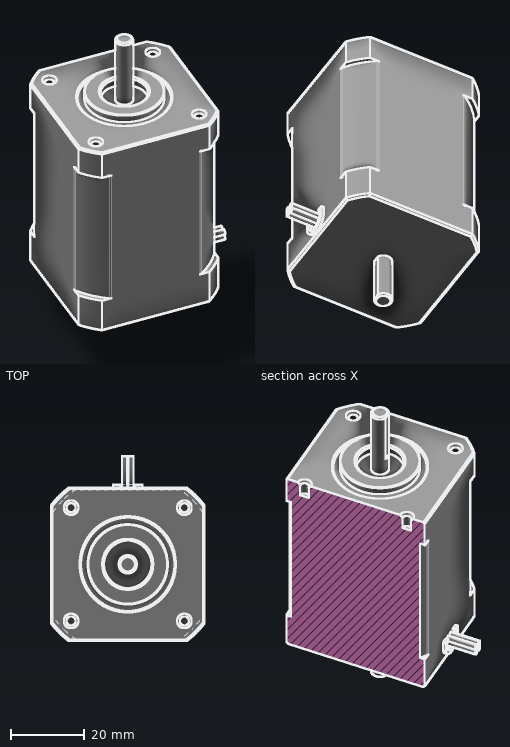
import cadquery as cq

frame_width = 42.0
motor_length = 61.0

front_cap_height = 8.4
rear_cap_height = 10.6
cap_corner_radius = 26.5
front_cap_chamfer = 0.4
rear_cap_chamfer = 0.6

stack_corner_radius = 25.0
stack_edge_fillet = 1.0

pilot_diameter = 22.0
pilot_height = 2.0
pilot_chamfer = 0.2
bearing_bore_diameter = 13.0
bearing_bore_depth = 2.8
bearing_bore_chamfer = 0.5
ring_recess_diameter = 26.4
ring_recess_depth = 0.4

mount_hole_pitch = 31.0
mount_hole_diameter = 2.5
mount_hole_depth = 4.5
mount_hole_chamfer = 0.75

shaft_diameter = 5.0
front_shaft_length = 20.0
rear_shaft_length = 15.0
shaft_chamfer = 0.5
shaft_flat_offset = 2.25
front_shaft_round_length = 4.5

outlet_radius = 4.0
outlet_top_height = 2.1
outlet_bore_radius = 3.0
outlet_thickness = 0.8
outlet_center_height = 5.25
wire_diameter = 1.5
wire_pitch = 1.75
wire_length = 8.6
wire_center_height = 5.55

half_width = frame_width / 2
rear_face_z = -motor_length
stack_bottom_z = rear_face_z + rear_cap_height
bore_floor_z = pilot_height - bearing_bore_depth
outlet_z = rear_face_z + outlet_center_height
wire_center_z = rear_face_z + wire_center_height


def cylinder(diameter, bottom_z, height):
    """Cylinder on the motor axis."""
    return cq.Workplane("XY", origin=(0, 0, bottom_z)).circle(diameter / 2).extrude(height)


def countersink(hole_diameter, chamfer, top_z):
    """45 degree cone that opens upward from a hole on the motor axis."""
    radius = hole_diameter / 2
    cone = cq.Solid.makeCone(radius, radius + chamfer, chamfer, pnt=cq.Vector(0, 0, top_z - chamfer))
    return cq.Workplane(cone)


def rounded_square(corner_radius, bottom_z, height):
    """Square prism whose corners are trimmed by a cylinder on the motor axis."""
    prism = cq.Workplane("XY", origin=(0, 0, bottom_z)).rect(frame_width, frame_width).extrude(height)
    return prism.intersect(cylinder(2 * corner_radius, bottom_z, height))


def front_cap():
    cap = rounded_square(cap_corner_radius, -front_cap_height, front_cap_height)
    return cap.faces(">Z").chamfer(front_cap_chamfer)


def rear_cap():
    cap = rounded_square(cap_corner_radius, rear_face_z, rear_cap_height)
    return cap.faces("<Z").chamfer(rear_cap_chamfer)


def stack():
    """Laminated middle section, set back from the caps at its corners."""
    height = motor_length - front_cap_height - rear_cap_height
    return rounded_square(stack_corner_radius, stack_bottom_z, height).edges("|Z").fillet(stack_edge_fillet)


def ring_recess():
    """Shallow recess around the pilot, its wall sloped at 45 degrees."""
    floor_diameter = ring_recess_diameter - 2 * ring_recess_depth
    return countersink(floor_diameter, ring_recess_depth, 0)


def pilot():
    boss = cylinder(pilot_diameter, -ring_recess_depth, pilot_height + ring_recess_depth)
    return boss.faces(">Z").chamfer(pilot_chamfer)


def countersunk_hole(diameter, depth, chamfer, top_z):
    hole = cylinder(diameter, top_z - depth, depth)
    return hole.union(countersink(diameter, chamfer, top_z))


def bearing_bore():
    return countersunk_hole(bearing_bore_diameter, bearing_bore_depth, bearing_bore_chamfer, pilot_height)


def mount_holes():
    hole = countersunk_hole(mount_hole_diameter, mount_hole_depth, mount_hole_chamfer, 0)
    centers = cq.Workplane("XY").rect(mount_hole_pitch, mount_hole_pitch, forConstruction=True).vertices()
    return centers.eachpoint(lambda place: hole.val().moved(place))


def shaft_end(length, flat_start):
    """Upright shaft end from z = 0 to its chamfered tip, with a flat on its +Y side."""
    rod = cylinder(shaft_diameter, 0, length).faces(">Z").chamfer(shaft_chamfer)
    relief = cq.Workplane("XY").box(
        shaft_diameter, shaft_diameter, length - flat_start, centered=(True, False, False)
    )
    return rod.cut(relief.translate((0, shaft_flat_offset, flat_start)))


def front_shaft():
    """Front shaft, standing on the floor of the bearing bore and fully round near the pilot."""
    round_length = front_shaft_round_length - bore_floor_z
    return shaft_end(front_shaft_length - bore_floor_z, round_length).translate((0, 0, bore_floor_z))


def rear_shaft():
    return shaft_end(rear_shaft_length, 0).mirror("XY").translate((0, 0, rear_face_z))


def cable_outlet():
    """Thin U-shaped rim around the wires, open at the top."""
    plane = cq.Workplane("XZ", origin=(0, half_width, outlet_z))
    rim = (
        plane.moveTo(-outlet_radius, 0)
        .threePointArc((0, -outlet_radius), (outlet_radius, 0))
        .lineTo(outlet_radius, outlet_top_height)
        .lineTo(-outlet_radius, outlet_top_height)
        .close()
        .extrude(-outlet_thickness)
    )
    return rim.cut(plane.circle(outlet_bore_radius).extrude(-outlet_thickness))


def wires():
    return (
        cq.Workplane("XZ", origin=(0, half_width, wire_center_z))
        .rarray(wire_pitch, wire_pitch, 2, 2)
        .circle(wire_diameter / 2)
        .extrude(-wire_length)
    )


housing = front_cap().union(rear_cap(), clean=False).union(stack(), clean=False)
housing = housing.cut(ring_recess()).union(pilot()).cut(bearing_bore()).cut(mount_holes())
result = housing.union(cable_outlet()).union(wires()).union(front_shaft()).union(rear_shaft())